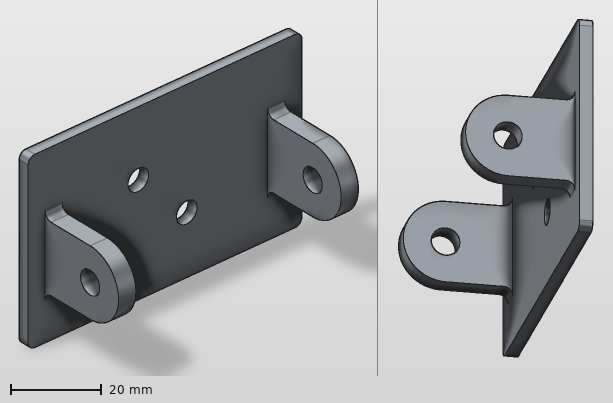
import cadquery as cq

plate_thickness = 3.0
plate_length = 80.0
plate_height = 50.0
corner_radius = 2.0

depth = 27.6
lug_thickness = 5.0
lug_inset = 5.0
lug_height = 19.0
lug_z = -2.4
lug_hole_diameter = 6.4
root_fillet = 2.0
lug_radius = lug_height / 2
eye_x = depth - lug_radius

mount_hole_diameter = 6.0
mount_hole_pitch = 14.2
mount_center_y = -0.7
mount_center_z = -1.0


def make_plate():
    plate = cq.Workplane("XY").box(
        plate_thickness, plate_length, plate_height, centered=(False, True, True)
    )
    plate = plate.edges("|X").fillet(corner_radius)
    offset = mount_hole_pitch / 2
    holes = (
        cq.Workplane("YZ")
        .pushPoints(
            [
                (mount_center_y - offset, mount_center_z + offset),
                (mount_center_y + offset, mount_center_z - offset),
            ]
        )
        .circle(mount_hole_diameter / 2)
        .extrude(plate_thickness)
    )
    return plate.cut(holes)


def make_lug(outer_y):
    """Round-ended lug with flared root, from outer_y toward -Y."""
    top = lug_z + lug_radius
    bottom = lug_z - lug_radius
    root_x = plate_thickness
    straight_x = root_x + root_fillet
    return (
        cq.Workplane("XZ", origin=(0, outer_y, 0))
        .moveTo(root_x, bottom - root_fillet)
        .radiusArc((straight_x, bottom), root_fillet)
        .lineTo(eye_x, bottom)
        .threePointArc((depth, lug_z), (eye_x, top))
        .lineTo(straight_x, top)
        .radiusArc((root_x, top + root_fillet), root_fillet)
        .close()
        .moveTo(eye_x, lug_z)
        .circle(lug_hole_diameter / 2)
        .extrude(lug_thickness)
    )


result = make_plate()
lug_outer_y = plate_length / 2 - lug_inset
for outer_y in (lug_outer_y, -lug_outer_y + lug_thickness):
    result = result.union(make_lug(outer_y))